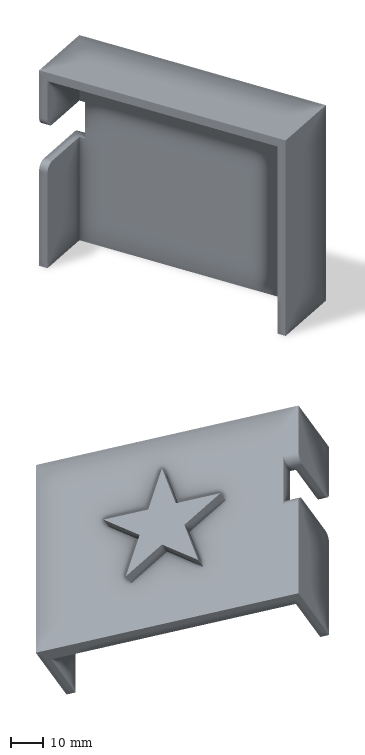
import cadquery as cq
import math

width = 88.0
height = 70.0
overall_depth = 29.44
shell_depth = 25.2
wall = 3.0
panel_thickness = 5.2

notch_reach = 5.0
notch_height = 13.0
notch_drop = 20.0
notch_radius = 3.0

star_points = 5
star_tip_radius = 20.6
star_half_pitch = math.pi / star_points
star_valley_radius = star_tip_radius * math.cos(2 * star_half_pitch) / math.cos(star_half_pitch)
star_thickness = overall_depth - shell_depth
star_center_height = 34.5
star_embed = 1.0


def make_shell():
    """Box open at the front (-Y) and at the bottom; its back face is at Y = shell_depth."""
    block = cq.Workplane("XY").box(width, shell_depth, height, centered=(True, False, False))
    cavity = cq.Workplane("XY").box(
        width - 2 * wall,
        shell_depth - panel_thickness,
        height - wall,
        centered=(True, False, False),
    )
    return block.cut(cavity)


def make_notch():
    """Slot cutter along Y whose two mouths flare out with quarter-round edges."""
    z_high = height - notch_drop
    z_low = z_high - notch_height
    r = notch_radius
    profile = (
        cq.Workplane("YZ", origin=(-width / 2, 0, 0))
        .moveTo(0, z_low - r)
        .radiusArc((r, z_low), r)
        .lineTo(shell_depth - r, z_low)
        .radiusArc((shell_depth, z_low - r), r)
        .lineTo(shell_depth, z_high + r)
        .radiusArc((shell_depth - r, z_high), r)
        .lineTo(r, z_high)
        .radiusArc((0, z_high + r), r)
        .close()
    )
    return profile.extrude(notch_reach)


def make_star():
    """Upright star prism, centred across the width of the back panel."""
    outline = []
    for i in range(2 * star_points):
        radius = star_tip_radius if i % 2 == 0 else star_valley_radius
        angle = math.pi / 2 + i * star_half_pitch
        outline.append((radius * math.cos(angle), radius * math.sin(angle)))
    base = cq.Workplane("XZ", origin=(0, shell_depth - star_embed, star_center_height))
    return base.polyline(outline).close().extrude(-(star_thickness + star_embed))


result = make_shell().cut(make_notch()).union(make_star())